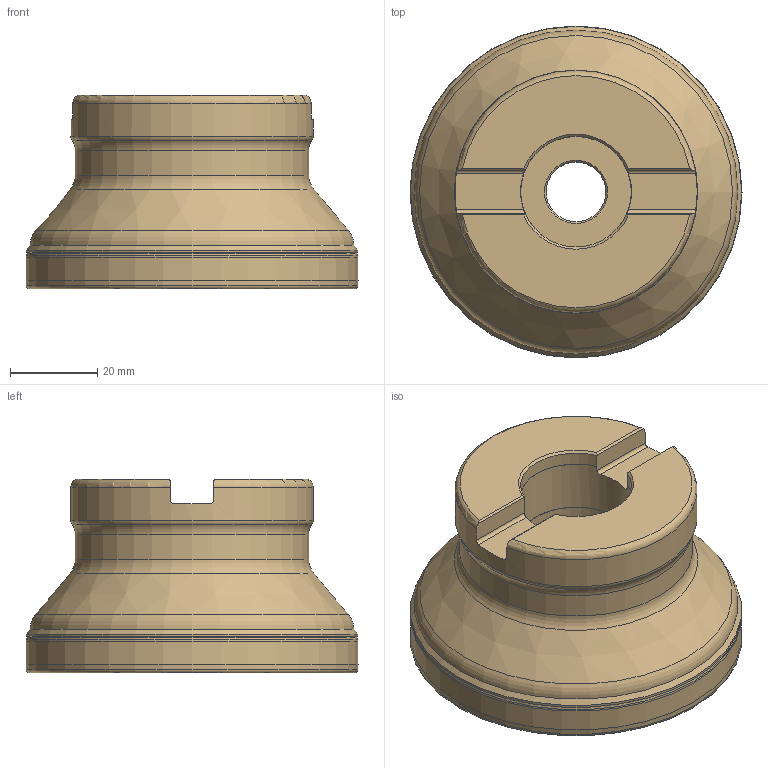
import cadquery as cq
import math

HEIGHT = 44.45
BASE_RADIUS = 76.22 / 2
BASE_WIDEST_Z = 2.0
BASE_EDGE_ROUND = 0.75
BASE_LOWER_RADIUS = BASE_RADIUS - 0.05
BASE_UPPER_RADIUS = BASE_RADIUS - 0.08
BASE_UPPER_Z = 7.25
BASE_BEVEL_Z = 7.65
BASE_BEVEL_RADIUS = BASE_UPPER_RADIUS - 0.05

GROOVE_RADIUS = BASE_UPPER_RADIUS - 0.2
GROOVE_BOTTOM_Z = 8.2
RIM_RADIUS = BASE_UPPER_RADIUS
RIM_BOTTOM_Z = 8.35
RIM_TOP_Z = 8.9
BEVEL_TOP_Z = 10.05

CONE_ANGLE = math.radians(40)
NECK_RADIUS = 53.6 / 2
NECK_BOTTOM_Z = 26.05
NECK_BLEND_RADIUS = 4.9
SHOULDER_ROUND_RADIUS = 5.2

NECK_TOP_Z = 31.8
HEAD_RADIUS = 55.6 / 2
HEAD_WIDEST_Z = 35.0
UNDERCUT_RADIUS = 4.0
HEAD_TOP_WALL_Z = 42.6
TOP_FACE_RADIUS = 26.65

SLOT_WIDTH = 9.9
SLOT_DEPTH = 5.6
SLOT_FLOOR_FILLET = 0.8
SLOT_CHAMFER = 0.4

BORE_RADIUS = 25.4 / 2
BORE_CHAMFER = (26.4 - 25.4) / 2
BORE_DEPTH = 19.05
RELIEF_RADIUS = BORE_RADIUS + 0.05
RELIEF_TOP_DEPTH = 3.6
RELIEF_BOTTOM_DEPTH = 15.7
HOLE_RADIUS = 13.7 / 2
HOLE_CHAMFER = 0.4


def turned_body():
    """Solid of revolution about Z, outlined from the base up to the top face."""
    cone_top_z = NECK_BOTTOM_Z - NECK_BLEND_RADIUS * math.sin(CONE_ANGLE)
    cone_top_radius = NECK_RADIUS + NECK_BLEND_RADIUS * (1 - math.cos(CONE_ANGLE))
    cone_foot_z = BEVEL_TOP_Z + SHOULDER_ROUND_RADIUS * math.sin(CONE_ANGLE)
    cone_foot_radius = cone_top_radius + (cone_top_z - cone_foot_z) * math.tan(CONE_ANGLE)
    shoulder_radius = cone_foot_radius + SHOULDER_ROUND_RADIUS * (1 - math.cos(CONE_ANGLE))

    undercut_rise = HEAD_WIDEST_Z - NECK_TOP_Z
    undercut_run = HEAD_RADIUS - NECK_RADIUS
    arc_angle = 2 * math.atan2(undercut_run, undercut_rise)
    meeting_z = NECK_TOP_Z + UNDERCUT_RADIUS * math.sin(arc_angle)
    meeting_radius = NECK_RADIUS + UNDERCUT_RADIUS * (1 - math.cos(arc_angle))

    return (
        cq.Workplane("XZ")
        .lineTo(BASE_LOWER_RADIUS - BASE_EDGE_ROUND, 0)
        .tangentArcPoint((BASE_LOWER_RADIUS, BASE_EDGE_ROUND), relative=False)
        .lineTo(BASE_RADIUS, BASE_WIDEST_Z)
        .lineTo(BASE_UPPER_RADIUS, BASE_UPPER_Z)
        .lineTo(BASE_BEVEL_RADIUS, BASE_BEVEL_Z)
        .lineTo(GROOVE_RADIUS, GROOVE_BOTTOM_Z)
        .lineTo(RIM_RADIUS, RIM_BOTTOM_Z)
        .lineTo(RIM_RADIUS, RIM_TOP_Z)
        .lineTo(shoulder_radius, BEVEL_TOP_Z)
        .radiusArc((cone_foot_radius, cone_foot_z), -SHOULDER_ROUND_RADIUS)
        .lineTo(cone_top_radius, cone_top_z)
        .radiusArc((NECK_RADIUS, NECK_BOTTOM_Z), NECK_BLEND_RADIUS)
        .lineTo(NECK_RADIUS, NECK_TOP_Z)
        .tangentArcPoint((meeting_radius, meeting_z), relative=False)
        .tangentArcPoint((HEAD_RADIUS, HEAD_WIDEST_Z), relative=False)
        .lineTo(HEAD_RADIUS, HEAD_TOP_WALL_Z)
        .tangentArcPoint((TOP_FACE_RADIUS, HEIGHT), relative=False)
        .lineTo(0, HEIGHT)
        .close()
        .revolve(360, (0, 0, 0), (0, 1, 0))
    )


def slot_cutter():
    """Slot along X with rounded floor corners and chamfered top edges."""
    floor_z = HEIGHT - SLOT_DEPTH
    half_width = SLOT_WIDTH / 2
    length = 2 * BASE_RADIUS
    channel = (
        cq.Workplane("XY")
        .box(length, SLOT_WIDTH, SLOT_DEPTH, centered=(True, True, False))
        .edges("|X and <Z")
        .fillet(SLOT_FLOOR_FILLET)
        .translate((0, 0, floor_z))
    )
    edge_bevel = (
        cq.Workplane("YZ")
        .moveTo(-half_width, HEIGHT - SLOT_CHAMFER)
        .lineTo(half_width, HEIGHT - SLOT_CHAMFER)
        .lineTo(half_width + SLOT_CHAMFER, HEIGHT)
        .lineTo(-half_width - SLOT_CHAMFER, HEIGHT)
        .close()
        .extrude(length / 2, both=True)
    )
    return channel.union(edge_bevel)


def bore_cutter():
    """Stepped bore about Z: screw hole, pilot bore with relief, and their chamfers."""
    floor_z = HEIGHT - BORE_DEPTH
    relief_bottom_z = HEIGHT - RELIEF_BOTTOM_DEPTH
    relief_top_z = HEIGHT - RELIEF_TOP_DEPTH
    return (
        cq.Workplane("XZ")
        .lineTo(HOLE_RADIUS, 0)
        .lineTo(HOLE_RADIUS, floor_z - HOLE_CHAMFER)
        .lineTo(HOLE_RADIUS + HOLE_CHAMFER, floor_z)
        .lineTo(BORE_RADIUS, floor_z)
        .lineTo(BORE_RADIUS, relief_bottom_z)
        .lineTo(RELIEF_RADIUS, relief_bottom_z)
        .lineTo(RELIEF_RADIUS, relief_top_z)
        .lineTo(BORE_RADIUS, relief_top_z)
        .lineTo(BORE_RADIUS, HEIGHT - BORE_CHAMFER)
        .lineTo(BORE_RADIUS + BORE_CHAMFER, HEIGHT)
        .lineTo(0, HEIGHT)
        .close()
        .revolve(360, (0, 0, 0), (0, 1, 0))
    )


result = turned_body().cut(slot_cutter()).cut(bore_cutter())